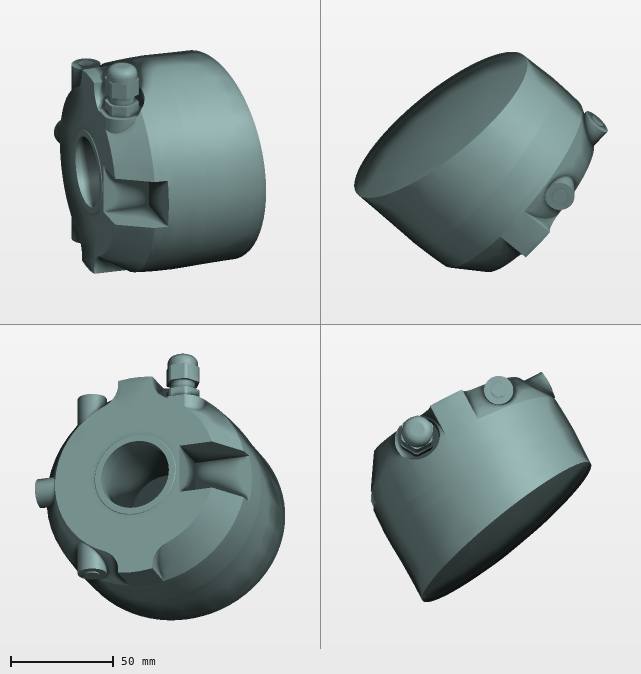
import cadquery as cq
import math

front_radius = 41.3
tab_radius = 51.1
shoulder_radius = 51.5
shoulder_y = 16.7
bulge_radius = 52.2
bulge_y = 26.0
belly_radius = 52.5
belly_y = 35.3
seam_radius = 52.3
seam_y = 43.2
rear_radius = 51.6
rear_high_y = 73.6
rear_low_y = 53.2
dome_rise = 5.4

tab_half_width = 8.8
tab_fillet = 11.5

hub_radius = 20.9
hub_height = 0.3
hub_chamfer = 0.29
bore_diameter = 34.9
bore_depth = 46.2

notch_inner_x = 22.8
notch_width = 24.2
notch_depth = 23.3

pin_diameter = 14.2
pin_y = 7.7
pin_x = -24.8
pin_end_z = 45.9
side_pin_end = 51.9
pin_tip_diameter = 7.0
pin_tip_height = 0.6

gland_x = 21.0
gland_y = 10.0
seat_radius = 11.0
seat_z = 38.9
gland_top_z = 62.9
hex_flats = 15.0
hex_corners = 16.6
lower_hex_height = 5.4
neck_diameter = 12.3
neck_height = 4.3
upper_hex_height = 7.8
cap_diameter = 15.0
cap_top_diameter = 7.0


def make_barrel():
    """Barrel-shaped body of revolution, long enough to be trimmed by the dome."""
    blank_y = rear_high_y + dome_rise
    taper = (seam_radius - rear_radius) / (rear_high_y - seam_y)
    blank_radius = rear_radius - taper * dome_rise
    return (
        cq.Workplane("XY")
        .lineTo(tab_radius, 0)
        .lineTo(shoulder_radius, shoulder_y)
        .threePointArc((bulge_radius, bulge_y), (belly_radius, belly_y))
        .lineTo(seam_radius, seam_y)
        .lineTo(blank_radius, blank_y)
        .lineTo(0, blank_y)
        .close()
        .revolve(360, (0, 0, 0), (0, 1, 0))
    )


def make_dome_sphere():
    """Ball whose surface is the shallow dome on the slanted rear face."""
    tilt = math.atan2(rear_high_y - rear_low_y, 2 * rear_radius)
    half_chord = rear_radius / math.cos(tilt)
    radius = (half_chord**2 + dome_rise**2) / (2 * dome_rise)
    setback = radius - dome_rise
    center_x = setback * math.sin(tilt)
    center_y = (rear_low_y + rear_high_y) / 2 - setback * math.cos(tilt)
    return cq.Workplane("XZ").sphere(radius).translate((center_x, center_y, 0))


def make_front_cone():
    """Everything inside the conical front and the barrel behind its shoulder."""
    return (
        cq.Workplane("XY")
        .lineTo(front_radius, 0)
        .lineTo(shoulder_radius, shoulder_y)
        .lineTo(2 * belly_radius, shoulder_y)
        .lineTo(2 * belly_radius, 2 * rear_high_y)
        .lineTo(0, 2 * rear_high_y)
        .close()
        .revolve(360, (0, 0, 0), (0, 1, 0))
    )


def make_tab(side):
    """Flared tab on the +Z (side = 1) or -Z (side = -1) edge of the front face."""
    arc_x = tab_half_width + tab_fillet
    reach = front_radius + tab_fillet
    arc_z = math.sqrt(reach**2 - arc_x**2)
    foot_x = arc_x * front_radius / reach
    foot_z = arc_z * front_radius / reach
    middle_angle = math.atan2(arc_z, arc_x) / 2
    middle_x = arc_x - tab_fillet * math.cos(middle_angle)
    middle_z = arc_z - tab_fillet * math.sin(middle_angle)
    return (
        cq.Workplane("XZ")
        .lineTo(foot_x, side * foot_z)
        .threePointArc((middle_x, side * middle_z), (tab_half_width, side * arc_z))
        .lineTo(tab_half_width, side * belly_radius)
        .lineTo(-tab_half_width, side * belly_radius)
        .lineTo(-tab_half_width, side * arc_z)
        .threePointArc((-middle_x, side * middle_z), (-foot_x, side * foot_z))
        .close()
        .extrude(-shoulder_y)
    )


def make_housing():
    envelope = make_front_cone().union(make_tab(1)).union(make_tab(-1))
    return make_barrel().intersect(make_dome_sphere()).intersect(envelope)


def make_pin(length, direction):
    """Pin with a small raised tip, running from the common pin center in a direction."""
    plane = cq.Plane(origin=(pin_x, pin_y, 0), normal=direction)
    pin = cq.Workplane(plane).circle(pin_diameter / 2).extrude(length)
    tip = cq.Workplane(plane).circle(pin_tip_diameter / 2).extrude(length + pin_tip_height)
    return pin.union(tip)


def z_cylinder(radius, bottom, height):
    """Vertical cylinder on the gland axis."""
    base = cq.Workplane("XY", origin=(gland_x, gland_y, bottom))
    return base.circle(radius).extrude(height)


def make_hex(bottom, height):
    """Hexagon with flats facing +Y and -Y and its corners turned off."""
    hexagon = (
        cq.Workplane("XY", origin=(gland_x, gland_y, bottom))
        .polygon(6, hex_flats / math.cos(math.pi / 6))
        .extrude(height)
    )
    return hexagon.intersect(z_cylinder(hex_corners / 2, bottom, height))


def make_seat_boss():
    """Round boss under the gland, cut flush with the front face."""
    boss = z_cylinder(seat_radius, 0, seat_z)
    behind_face = cq.Workplane("XY").box(
        2 * belly_radius, 2 * seat_radius + gland_y, seat_z, centered=(True, False, False)
    )
    return boss.intersect(behind_face)


def make_gland():
    neck_z = seat_z + lower_hex_height
    upper_hex_z = neck_z + neck_height
    cap_z = upper_hex_z + upper_hex_height
    cap_rounding = (cap_diameter - cap_top_diameter) / 2
    cap = z_cylinder(cap_diameter / 2, cap_z, gland_top_z - cap_z).faces(">Z").edges().fillet(cap_rounding)
    return (
        make_hex(seat_z, lower_hex_height)
        .union(z_cylinder(neck_diameter / 2, neck_z, neck_height))
        .union(make_hex(upper_hex_z, upper_hex_height))
        .union(cap)
    )


hub = cq.Workplane("XZ").circle(hub_radius).extrude(hub_height).faces("<Y").edges().chamfer(hub_chamfer)
bore = (
    cq.Workplane("XZ", origin=(0, -hub_height, 0)).circle(bore_diameter / 2).extrude(-bore_depth - hub_height)
)
notch = cq.Workplane("XY").box(belly_radius, notch_depth, notch_width, centered=(False, False, True))

result = make_housing().union(make_seat_boss()).union(hub)
result = result.cut(z_cylinder(seat_radius, seat_z, belly_radius))
result = result.cut(notch.translate((notch_inner_x, 0, 0)))
for side in (1, -1):
    result = result.union(make_pin(pin_end_z, (0, 0, side)))
result = result.union(make_pin(side_pin_end + pin_x, (-1, 0, 0)))
result = result.cut(bore).union(make_gland())